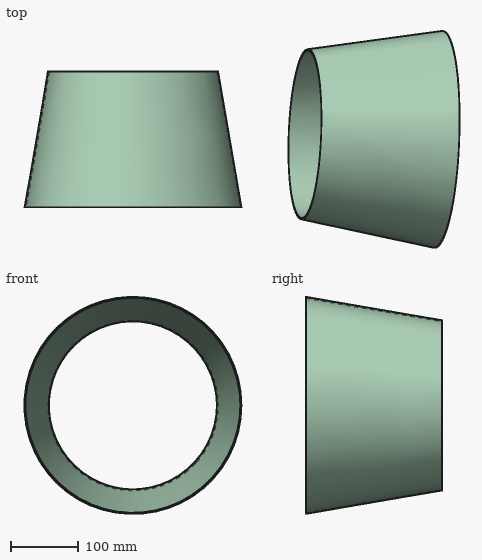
import cadquery as cq

large_outer_diameter = 323.9
small_outer_diameter = 254.0
wall_thickness = 2.0
length = 203.0


def cone_frustum(large_diameter, small_diameter):
    """Solid frustum from the wide end at Y = 0 to the narrow end at Y = length."""
    profile = (
        cq.Workplane("XY")
        .moveTo(0, 0)
        .lineTo(large_diameter / 2, 0)
        .lineTo(small_diameter / 2, length)
        .lineTo(0, length)
        .close()
    )
    return profile.revolve(360, (0, 0, 0), (0, 1, 0))


outer_cone = cone_frustum(large_outer_diameter, small_outer_diameter)
bore = cone_frustum(
    large_outer_diameter - 2 * wall_thickness,
    small_outer_diameter - 2 * wall_thickness,
)

result = outer_cone.cut(bore)